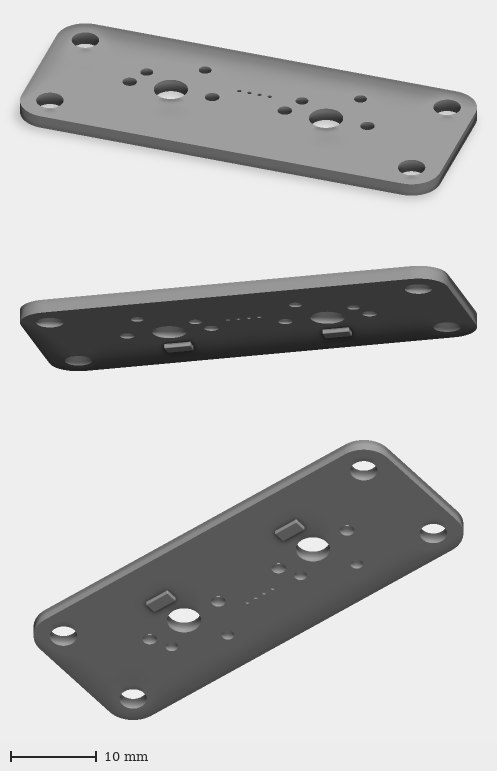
import cadquery as cq

board_length = 51.5
board_width = 20.2
board_thickness = 1.6
corner_radius = 3.5
mount_hole_diameter = 3.2

switch_spacing = 19.1
grid = 2.54
switch_post_diameter = 4.0
guide_peg_diameter = 1.7
guide_peg_offset = 2 * grid
pin_hole_diameter = 1.5
pin_hole_offsets = [(-1.5 * grid, grid), (grid, 2 * grid)]

header_pin_count = 4
header_pitch = 1.25
header_hole_diameter = 0.5
header_y = 2.2

light_length = 3.2
light_width = 1.6
light_height = 0.58
light_y = -4.4
light_edge_radius = 0.1

switch_centres = [(-switch_spacing / 2, 0), (switch_spacing / 2, 0)]


def drill(body, points, diameter):
    """Drill a through hole in the board at each (x, y) point."""
    holes = cq.Workplane("XY").pushPoints(points).circle(diameter / 2).extrude(board_thickness)
    return body.cut(holes)


def drill_switch_footprint(body, centre):
    """Drill the post, guide peg and pin holes of one key switch."""
    x, y = centre
    pegs = [(x - guide_peg_offset, y), (x + guide_peg_offset, y)]
    pins = [(x + dx, y + dy) for dx, dy in pin_hole_offsets]
    body = drill(body, [centre], switch_post_diameter)
    body = drill(body, pegs, guide_peg_diameter)
    return drill(body, pins, pin_hole_diameter)


def make_board():
    """Rounded board with its underside on Z = 0."""
    body = (
        cq.Workplane("XY")
        .rect(board_length, board_width)
        .extrude(board_thickness)
        .edges("|Z")
        .fillet(corner_radius)
    )

    mount_x = board_length / 2 - corner_radius
    mount_y = board_width / 2 - corner_radius
    mounts = [(sx * mount_x, sy * mount_y) for sx in (-1, 1) for sy in (-1, 1)]
    body = drill(body, mounts, mount_hole_diameter)

    for centre in switch_centres:
        body = drill_switch_footprint(body, centre)

    first_pin_x = -header_pitch * (header_pin_count - 1) / 2
    header = [(first_pin_x + i * header_pitch, header_y) for i in range(header_pin_count)]
    return drill(body, header, header_hole_diameter)


def make_light(centre):
    """Rectangular light with rounded edges, hanging from the underside of the board."""
    x, y = centre
    return (
        cq.Workplane("XY")
        .center(x, y + light_y)
        .rect(light_length, light_width)
        .extrude(-light_height)
        .edges()
        .fillet(light_edge_radius)
    )


board = make_board()
lights = [make_light(centre) for centre in switch_centres]

result = cq.Compound.makeCompound([board.val(), *[light.val() for light in lights]])